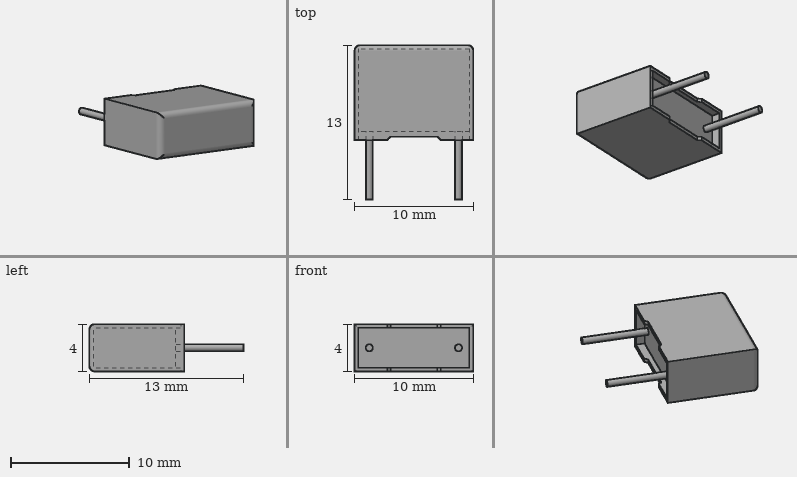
import cadquery as cq

CASE_WIDTH = 10.0
CASE_DEPTH = 8.0
CASE_HEIGHT = 4.0
WALL = 0.33
BACK_FILLET = 0.5

NOTCH_MOUTH_WIDTH = 4.5
NOTCH_DEPTH = 0.28
NOTCH_FLOOR_WIDTH = NOTCH_MOUTH_WIDTH - 2 * NOTCH_DEPTH

RESIN_SETBACK = 0.75

LEAD_PITCH = 7.5
LEAD_DIAMETER = 0.6
LEAD_REACH = 5.0

CAVITY_WIDTH = CASE_WIDTH - 2 * WALL
CAVITY_HEIGHT = CASE_HEIGHT - 2 * WALL
CAVITY_DEPTH = CASE_DEPTH - WALL
RESIN_DEPTH = CAVITY_DEPTH - RESIN_SETBACK


def block_along_y(width, height, depth, start_y):
    """Box centred on the Y axis that runs from start_y towards +Y."""
    block = cq.Workplane("XY").box(width, depth, height, centered=(True, False, True))
    return block.translate((0, start_y, 0))


def make_notch_cutter():
    """Trapezoidal prism through both broad walls of the case at its mouth."""
    return (
        cq.Workplane("XY")
        .moveTo(-NOTCH_MOUTH_WIDTH / 2, 0)
        .lineTo(-NOTCH_FLOOR_WIDTH / 2, NOTCH_DEPTH)
        .lineTo(NOTCH_FLOOR_WIDTH / 2, NOTCH_DEPTH)
        .lineTo(NOTCH_MOUTH_WIDTH / 2, 0)
        .close()
        .extrude(CASE_HEIGHT / 2, both=True)
    )


def make_case():
    """Open-mouthed box with a rounded closed end and notched broad walls."""
    shell = block_along_y(CASE_WIDTH, CASE_HEIGHT, CASE_DEPTH, 0)
    shell = shell.faces(">Y").edges().fillet(BACK_FILLET)
    cavity = block_along_y(CAVITY_WIDTH, CAVITY_HEIGHT, CAVITY_DEPTH, 0)
    return shell.cut(cavity).cut(make_notch_cutter())


def make_resin():
    """Potting block that fills the cavity up to the setback."""
    return block_along_y(CAVITY_WIDTH, CAVITY_HEIGHT, RESIN_DEPTH, RESIN_SETBACK)


def make_lead(x):
    """Round wire from the resin face out past the mouth of the case."""
    return (
        cq.Workplane("XZ", origin=(x, RESIN_SETBACK, 0))
        .circle(LEAD_DIAMETER / 2)
        .extrude(RESIN_SETBACK + LEAD_REACH)
    )


case = make_case()
resin = make_resin()
leads = [make_lead(side * LEAD_PITCH / 2) for side in (-1, 1)]

result = cq.Compound.makeCompound([case.val(), resin.val(), *[lead.val() for lead in leads]])